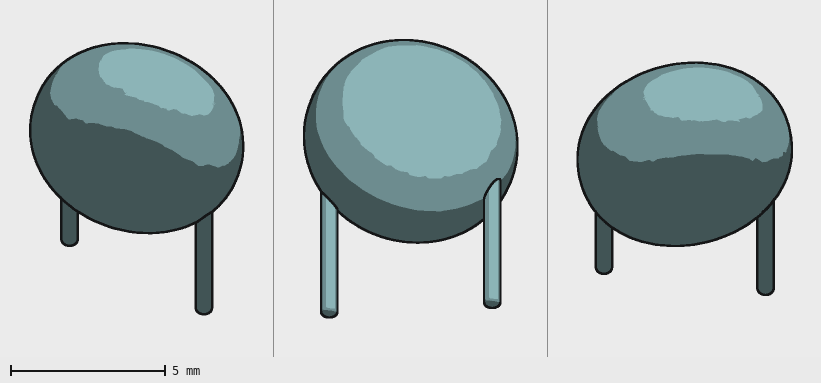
import cadquery as cq

body_diameter = 7.0
body_thickness = 4.0
edge_radius = 1.95

total_height = 10.03
lead_diameter = 0.54
lead_spacing = 4.99
lead_offset = 0.9
tip_radius = 0.12

lead_length = total_height - body_diameter / 2


def make_body():
    disc = cq.Workplane("XZ").circle(body_diameter / 2).extrude(body_thickness / 2, both=True)
    return disc.edges("%CIRCLE").fillet(edge_radius)


def make_lead(x, y):
    lead = cq.Workplane("XY").center(x, y).circle(lead_diameter / 2).extrude(-lead_length)
    return lead.faces("<Z").edges().fillet(tip_radius)


result = make_body()
for side in (-1, 1):
    result = result.union(make_lead(side * lead_spacing / 2, -side * lead_offset))